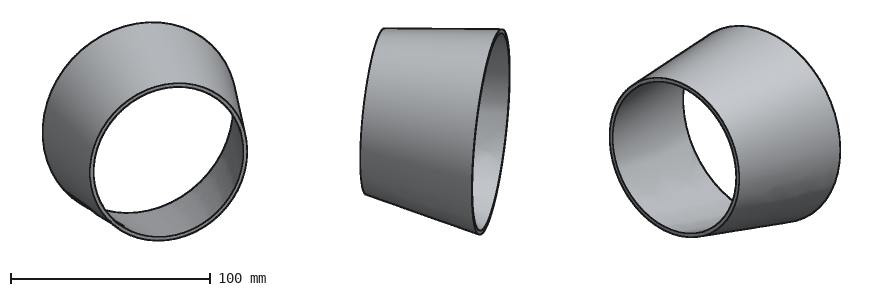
import cadquery as cq

length = 60.0
large_diameter = 103.7
small_diameter = 84.0
wall = 2.1
small_end_shift = -6.5


def oblique_cone(start_diameter, end_diameter):
    """Solid along +X whose end circle is shifted along Y."""
    return (
        cq.Workplane("YZ")
        .circle(start_diameter / 2)
        .workplane(offset=length)
        .center(small_end_shift, 0)
        .circle(end_diameter / 2)
        .loft(ruled=True, combine=True)
    )


outer = oblique_cone(large_diameter, small_diameter)
bore = oblique_cone(large_diameter - 2 * wall, small_diameter - 2 * wall)
result = outer.cut(bore)